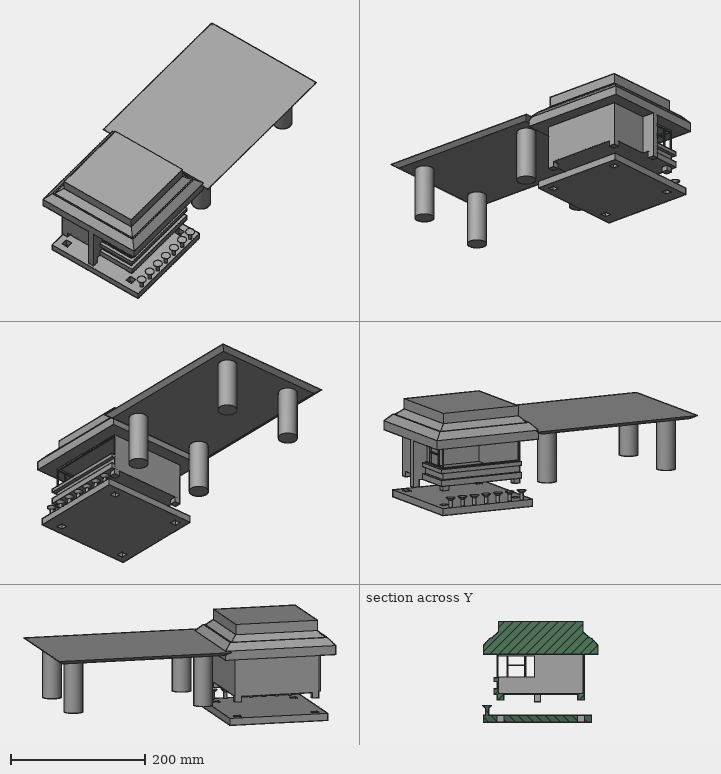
import cadquery as cq

OVERALL_LENGTH = 431.5

PLATE_TOP = 11.0
POST_BOTTOM = 30.0
FEET_BOTTOM = 33.0
CABIN_BOTTOM = 41.0
EAVE_BOTTOM = 101.0
EAVE_TOP = 115.0
LOWER_ROOF_TOP = 125.5
UPPER_ROOF_TOP = 134.5
ROOF_BLOCK_TOP = 150.0

EAVE_SIZE = 170.5
LOWER_ROOF_TOP_SIZE = 150.0
UPPER_ROOF_BASE_SIZE = 146.0
ROOF_BLOCK_SIZE = 126.0

CABIN_SIZE = 129.5
WALL = 2.0
FOOT_SIZE = 10.0

PARTITION_LEFT = 0.0
PARTITION_WIDTH = 9.5

LEDGE_OVERHANG = 5.0
LOWER_LEDGE_HEIGHT = 9.0
UPPER_LEDGE_BOTTOM = 60.5
UPPER_LEDGE_HEIGHT = 6.0

BAR = 1.5
SILL = UPPER_LEDGE_BOTTOM + UPPER_LEDGE_HEIGHT + BAR
WINDOW_TOP = EAVE_BOTTOM - 2 * BAR
SIDE_PANE_WIDTH = 13.5
MIDDLE_PANE_WIDTH = 24.5
CROSSBAR_BOTTOM = 84.0

TABLE_WIDTH = 196.0
TABLE_LENGTH = 266.5
TABLE_THICKNESS = 5.5
TABLE_EDGE_INSET = 8.5
TABLE_LEG_DIAMETER = 28.5
TABLE_LEG_SPACING_X = 119.5
TABLE_LEG_SPACING_Y = 200.2

PLATE_MARGIN = 11.0
STOOL_COUNT = 7
STOOL_SPACING = 20.0
STOOL_X = 80.0
STOOL_TOP = 25.0
STOOL_STEM_TOP = 21.0
STOOL_STEM_DIAMETER = 5.0
STOOL_SEAT_DIAMETER = 13.5

CABIN_HALF = CABIN_SIZE / 2
EAVE_HALF = EAVE_SIZE / 2
TABLE_BACK = OVERALL_LENGTH - EAVE_HALF
FOOT_SPACING = CABIN_SIZE - FOOT_SIZE


def block(x_range, y_range, z_range):
    """Box between two limits along each axis."""
    (x0, x1), (y0, y1), (z0, z1) = x_range, y_range, z_range
    return cq.Workplane("XY").box(x1 - x0, y1 - y0, z1 - z0, centered=False).translate((x0, y0, z0))


def square_tier(bottom, top, base_size, top_size):
    """Square roof tier whose sides slope from the base size to the top size."""
    return (
        cq.Workplane("XY", origin=(0, 0, bottom))
        .rect(base_size, base_size)
        .workplane(offset=top - bottom)
        .rect(top_size, top_size)
        .loft(ruled=True)
    )


def make_roof():
    roof = square_tier(EAVE_BOTTOM, EAVE_TOP, EAVE_SIZE, EAVE_SIZE)
    roof = roof.union(square_tier(EAVE_TOP, LOWER_ROOF_TOP, EAVE_SIZE, LOWER_ROOF_TOP_SIZE))
    roof = roof.union(square_tier(LOWER_ROOF_TOP, UPPER_ROOF_TOP, UPPER_ROOF_BASE_SIZE, ROOF_BLOCK_SIZE))
    return roof.union(square_tier(UPPER_ROOF_TOP, ROOF_BLOCK_TOP, ROOF_BLOCK_SIZE, ROOF_BLOCK_SIZE))


def corner_posts(bottom, top):
    """Square posts at the four corners of the cabin, used for its feet and for their sockets."""
    return (
        cq.Workplane("XY", origin=(0, 0, bottom))
        .rect(FOOT_SPACING, FOOT_SPACING, forConstruction=True)
        .vertices()
        .rect(FOOT_SIZE, FOOT_SIZE)
        .extrude(top - bottom)
    )


def make_partition():
    x_range = (PARTITION_LEFT, PARTITION_LEFT + PARTITION_WIDTH)
    wall = block(x_range, (-EAVE_HALF, -CABIN_HALF), (CABIN_BOTTOM, EAVE_BOTTOM))
    front_post = block(x_range, (-EAVE_HALF, -EAVE_HALF + FOOT_SIZE), (POST_BOTTOM, EAVE_BOTTOM))
    return wall.union(front_post)


def make_ledge(bottom, height):
    """L-shaped ledge from the partition round the front corner and along the +X side."""
    outer = CABIN_HALF + LEDGE_OVERHANG
    z_range = (bottom, bottom + height)
    front = block((PARTITION_LEFT, outer), (-outer, -CABIN_HALF), z_range)
    side = block((CABIN_HALF, outer), (-outer, CABIN_HALF), z_range)
    return front.union(side)


def make_windows():
    """Cutters for the front panes and the long +X opening, which leave a thin bar at their corner."""
    corner = CABIN_HALF - BAR
    right_pane_left = corner - SIDE_PANE_WIDTH
    middle_right = right_pane_left - BAR
    middle_left = middle_right - MIDDLE_PANE_WIDTH
    left_pane_right = middle_left - 2 * BAR
    front_wall = (-CABIN_HALF, -CABIN_HALF + WALL)
    side_wall = (CABIN_HALF - WALL, CABIN_HALF)
    panes = [
        ((PARTITION_LEFT + PARTITION_WIDTH, left_pane_right), (SILL, WINDOW_TOP)),
        ((middle_left, middle_right), (SILL, CROSSBAR_BOTTOM)),
        ((middle_left, middle_right), (CROSSBAR_BOTTOM + BAR, WINDOW_TOP)),
        ((right_pane_left, corner), (SILL, WINDOW_TOP)),
    ]
    windows = block(side_wall, (-corner, corner), (SILL, WINDOW_TOP))
    for x_range, z_range in panes:
        windows = windows.union(block(x_range, front_wall, z_range))
    return windows


def make_cabin():
    outside = (-CABIN_HALF, CABIN_HALF)
    inside = (-CABIN_HALF + WALL, CABIN_HALF - WALL)
    shell = block(outside, outside, (CABIN_BOTTOM, EAVE_BOTTOM))
    shell = shell.cut(block(inside, inside, (CABIN_BOTTOM + WALL, EAVE_BOTTOM)))
    return shell.cut(make_windows()).union(corner_posts(FEET_BOTTOM, CABIN_BOTTOM))


def make_table():
    """Tabletop with undercut edges on four round legs; its front edge runs into the eave."""
    centre_y = TABLE_BACK - TABLE_LENGTH / 2
    underside = EAVE_TOP - TABLE_THICKNESS
    top = (
        cq.Workplane("XY", origin=(0, centre_y, underside))
        .rect(TABLE_WIDTH - 2 * TABLE_EDGE_INSET, TABLE_LENGTH - 2 * TABLE_EDGE_INSET)
        .workplane(offset=TABLE_THICKNESS)
        .rect(TABLE_WIDTH, TABLE_LENGTH)
        .loft(ruled=True)
    )
    legs = (
        cq.Workplane("XY", origin=(0, centre_y, POST_BOTTOM))
        .rect(TABLE_LEG_SPACING_X, TABLE_LEG_SPACING_Y, forConstruction=True)
        .vertices()
        .circle(TABLE_LEG_DIAMETER / 2)
        .extrude(underside - POST_BOTTOM)
    )
    return top.union(legs)


def make_house():
    house = make_roof().union(make_cabin()).union(make_partition())
    house = house.union(make_ledge(CABIN_BOTTOM, LOWER_LEDGE_HEIGHT))
    house = house.union(make_ledge(UPPER_LEDGE_BOTTOM, UPPER_LEDGE_HEIGHT))
    return house.union(make_table()).clean()


def make_stool(y):
    """Round stem that carries a seat flaring to a sharp rim."""
    stem_radius = STOOL_STEM_DIAMETER / 2
    profile = [
        (0, PLATE_TOP),
        (stem_radius, PLATE_TOP),
        (stem_radius, STOOL_STEM_TOP),
        (STOOL_SEAT_DIAMETER / 2, STOOL_TOP),
        (0, STOOL_TOP),
    ]
    stool = cq.Workplane("XZ").polyline(profile).close().revolve(360, (0, 0), (0, 1))
    return stool.translate((STOOL_X, y, 0))


def make_base():
    """Base plate with through sockets below the cabin feet, and the row of stools on it."""
    half_depth = CABIN_HALF + PLATE_MARGIN
    base = block((-half_depth, EAVE_HALF), (-half_depth, half_depth), (0, PLATE_TOP))
    base = base.cut(corner_posts(0, PLATE_TOP))
    for i in range(STOOL_COUNT):
        base = base.union(make_stool((i - (STOOL_COUNT - 1) / 2) * STOOL_SPACING))
    return base


house = make_house()
base = make_base()
result = cq.Compound.makeCompound([house.val(), base.val()])